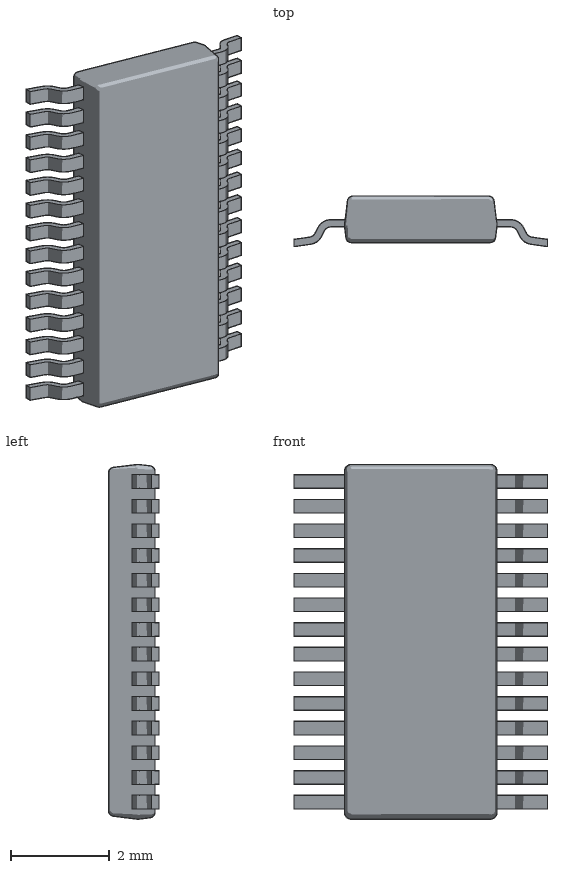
import cadquery as cq
import math

BODY_WIDTH = 3.10
BODY_LENGTH = 7.2
BODY_BOTTOM_Y = 0.08
PARTING_Y = 0.43
BODY_TOP_Y = 1.03
DRAFT_ANGLE = 7.0
CORNER_RADIUS = 0.15
FACE_EDGE_RADIUS = 0.12

LEADS_PER_SIDE = 14
LEAD_PITCH = 0.5
LEAD_WIDTH = 0.28
LEAD_THICKNESS = 0.15
LEAD_SPAN = 5.14
SHOULDER_Y = 0.475
SHOULDER_END_X = 1.82
LEAD_EMBEDMENT = 0.3
BEND_INNER_RADIUS = 0.15
SHANK_ANGLE = 63.0
FOOT_ANGLE = 8.0

PAD_WIDTH = 1.65
PAD_LENGTH = 4.95
PAD_TAB_WIDTH = 0.45
PAD_TAB_HEIGHT = 0.12
PAD_THICKNESS = 0.15


def make_body():
    """Two drafted halves meeting at the parting plane, with rounded flat faces."""

    def drafted_half(face_y):
        outline = cq.Sketch().rect(BODY_WIDTH, BODY_LENGTH).vertices().fillet(CORNER_RADIUS)
        return (
            cq.Workplane("XZ", origin=(0, PARTING_Y, 0))
            .placeSketch(outline)
            .extrude(PARTING_Y - face_y, taper=DRAFT_ANGLE)
        )

    body = drafted_half(BODY_BOTTOM_Y).union(drafted_half(BODY_TOP_Y))
    return body.faces("<Y or >Y").edges().fillet(FACE_EDGE_RADIUS)


def make_lead():
    """One gull-wing lead on the +X side, centred on Z = 0."""
    half_thickness = LEAD_THICKNESS / 2
    bend_radius = BEND_INNER_RADIUS + half_thickness
    shank = math.radians(SHANK_ANGLE)
    foot = math.radians(FOOT_ANGLE)

    upper_centre = (SHOULDER_END_X, SHOULDER_Y - bend_radius)
    upper_end_x = upper_centre[0] + bend_radius * math.sin(shank)
    upper_end_y = upper_centre[1] + bend_radius * math.cos(shank)

    tip_x = LEAD_SPAN / 2
    tip_y = half_thickness / math.cos(foot)
    lower_bend_run = bend_radius * (math.sin(shank) - math.sin(foot))
    lower_bend_drop = bend_radius * (math.cos(foot) - math.cos(shank))
    free_run = tip_x - upper_end_x - lower_bend_run
    free_drop = upper_end_y - tip_y - lower_bend_drop
    shank_length = (free_drop * math.cos(foot) - free_run * math.sin(foot)) / math.sin(shank - foot)

    lower_start_x = upper_end_x + shank_length * math.cos(shank)
    lower_start_y = upper_end_y - shank_length * math.sin(shank)
    lower_centre = (
        lower_start_x + bend_radius * math.sin(shank),
        lower_start_y + bend_radius * math.cos(shank),
    )

    def on_upper_bend(angle, side):
        radius = bend_radius + side * half_thickness
        return (upper_centre[0] + radius * math.sin(angle), upper_centre[1] + radius * math.cos(angle))

    def on_lower_bend(angle, side):
        radius = bend_radius - side * half_thickness
        return (lower_centre[0] - radius * math.sin(angle), lower_centre[1] - radius * math.cos(angle))

    def at_tip(side):
        return (tip_x, tip_y + side * half_thickness / math.cos(foot))

    root_x = BODY_WIDTH / 2 - LEAD_EMBEDMENT
    top, bottom = 1, -1
    middle_of_lower = (shank + foot) / 2
    outline = (
        cq.Workplane("XY")
        .moveTo(root_x, SHOULDER_Y + half_thickness)
        .lineTo(*on_upper_bend(0, top))
        .threePointArc(on_upper_bend(shank / 2, top), on_upper_bend(shank, top))
        .lineTo(*on_lower_bend(shank, top))
        .threePointArc(on_lower_bend(middle_of_lower, top), on_lower_bend(foot, top))
        .lineTo(*at_tip(top))
        .lineTo(*at_tip(bottom))
        .lineTo(*on_lower_bend(foot, bottom))
        .threePointArc(on_lower_bend(middle_of_lower, bottom), on_lower_bend(shank, bottom))
        .lineTo(*on_upper_bend(shank, bottom))
        .threePointArc(on_upper_bend(shank / 2, bottom), on_upper_bend(0, bottom))
        .lineTo(root_x, SHOULDER_Y - half_thickness)
        .close()
    )
    return outline.extrude(LEAD_WIDTH / 2, both=True)


def add_leads(body):
    """Join a row of evenly spaced leads to each long side of the body."""
    right_lead = make_lead()
    left_lead = right_lead.mirror("YZ")
    first_z = -LEAD_PITCH * (LEADS_PER_SIDE - 1) / 2
    for index in range(LEADS_PER_SIDE):
        position = (0, 0, first_z + index * LEAD_PITCH)
        body = body.union(right_lead.translate(position)).union(left_lead.translate(position))
    return body


def make_pad():
    """Rectangular pad with a tab centred on each short end."""
    centre = (0, BODY_BOTTOM_Y + PAD_THICKNESS / 2, 0)
    plate = cq.Workplane("XY").box(PAD_WIDTH, PAD_THICKNESS, PAD_LENGTH)
    tabs = cq.Workplane("XY").box(PAD_TAB_WIDTH, PAD_THICKNESS, PAD_LENGTH + 2 * PAD_TAB_HEIGHT)
    return plate.union(tabs).translate(centre)


package = add_leads(make_body())
result = package.union(make_pad(), clean=False)